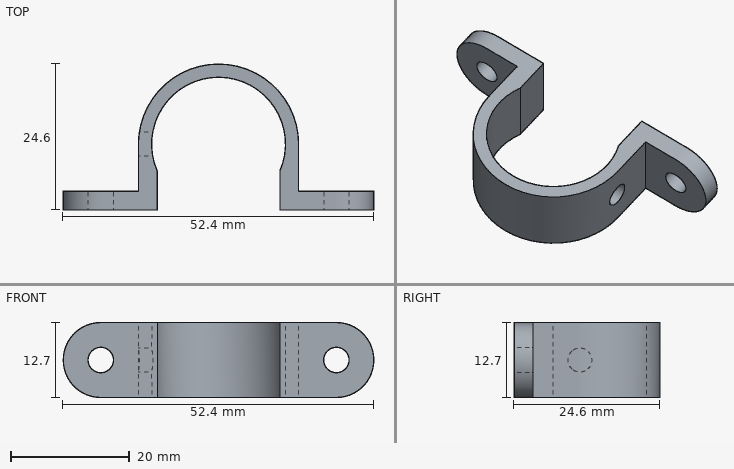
import cadquery as cq

length = 52.4
width = 12.7
depth = 24.6
ring_outer_radius = 13.5
ring_inner_radius = 11.25
mouth_width = 20.65
flange_thickness = 3.2
screw_hole_diameter = 4.25
side_hole_diameter = 4.05

mount_y = ring_outer_radius - depth
end_radius = width / 2
screw_offset = length / 2 - end_radius


def make_strap():
    """Solid arch: a half disc on straight sides down to the mounting face."""
    arch = (
        cq.Workplane("XY", origin=(0, 0, -width / 2))
        .moveTo(-ring_outer_radius, mount_y)
        .lineTo(-ring_outer_radius, 0)
        .threePointArc((0, ring_outer_radius), (ring_outer_radius, 0))
        .lineTo(ring_outer_radius, mount_y)
        .close()
    )
    return arch.extrude(width)


def make_flanges():
    """Round-ended mounting plate, later split in two by the mouth."""
    plate = cq.Workplane("XZ", origin=(0, mount_y, 0)).slot2D(length, width)
    return plate.extrude(-flange_thickness)


def make_opening():
    """Ring bore joined with the narrower straight mouth."""
    bore = cq.Workplane("XY").circle(ring_inner_radius).extrude(width / 2, both=True)
    mouth = cq.Workplane("XY").box(mouth_width, -mount_y, width).translate((0, mount_y / 2, 0))
    return bore.union(mouth)


def make_screw_holes():
    """One hole along Y at the centre of each rounded flange end."""
    centres = [(-screw_offset, 0), (screw_offset, 0)]
    holes = cq.Workplane("XZ", origin=(0, mount_y, 0)).pushPoints(centres)
    return holes.circle(screw_hole_diameter / 2).extrude(-flange_thickness)


def make_side_hole():
    """Radial hole through the -X wall only."""
    hole = cq.Workplane("YZ").circle(side_hole_diameter / 2)
    return hole.extrude(-ring_outer_radius)


result = (
    make_strap()
    .union(make_flanges())
    .cut(make_opening())
    .cut(make_screw_holes())
    .cut(make_side_hole())
    .clean()
)